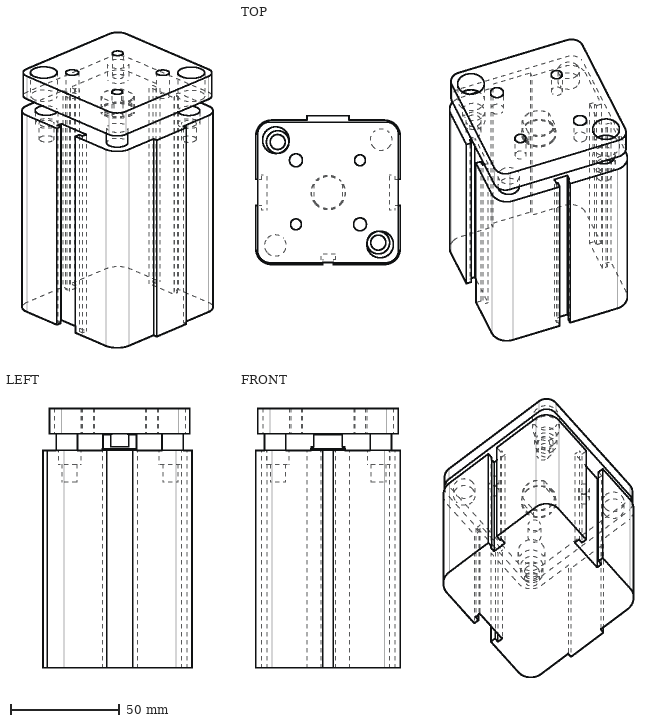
import cadquery as cq

total_height = 120.0
body_side = 67.0
body_height = 100.5
body_corner_radius = 7.5
plate_side = 65.0
plate_thickness = 11.8
plate_corner_radius = 5.5

rib_width = 19.5
rib_height = 2.0
front_slot_mouth = 5.0
front_slot_width = 6.5
side_slot_mouth = 12.0
side_slot_width = 16.3
slot_lip = 2.5
slot_depth = 5.0

screw_pitch = 46.5
screw_hole_diameter = 7.0
screw_head_diameter = 10.5
screw_head_depth = 6.5
screw_hole_depth = 14.4

guide_pitch = 49.0
guide_diameter = 10.0
piston_diameter = 15.6
piston_chamfer = 0.4
piston_collar_diameter = 16.0
piston_collar_height = 0.7
piston_flats = 13.2
piston_flat_start = 1.7
access_pitch = 48.2
access_diameter = 12.4
plate_hole_pitch = 29.6
tapped_diameter = 5.0
dowel_diameter = 6.0

plate_bottom = total_height - plate_thickness


def diagonal(pitch, rising):
    """Two opposite corners of a square: (-,-) and (+,+) if rising, else (-,+) and (+,-)."""
    half = pitch / 2
    return [(-half, -half), (half, half)] if rising else [(-half, half), (half, -half)]


def block(side, height, radius, bottom):
    """Square block with rounded vertical corners."""
    return (cq.Workplane("XY", origin=(0, 0, bottom)).rect(side, side)
            .extrude(height).edges("|Z").fillet(radius))


def round_bars(points, diameter, bottom, top):
    """Vertical cylinders at the given points."""
    return (cq.Workplane("XY", origin=(0, 0, bottom)).pushPoints(points)
            .circle(diameter / 2).extrude(top - bottom))


def t_slot(mouth, width, turn):
    """T-slot cutter over the full body height, for the -Y face turned about Z."""
    face = -body_side / 2
    neck = (cq.Workplane("XY").center(0, face + slot_depth / 2)
            .rect(mouth, slot_depth).extrude(body_height))
    undercut_depth = slot_depth - slot_lip
    undercut = (cq.Workplane("XY").center(0, face + slot_lip + undercut_depth / 2)
                .rect(width, undercut_depth).extrude(body_height))
    return neck.union(undercut).rotate((0, 0, 0), (0, 0, 1), turn)


def make_housing():
    """Cylinder body with a rib at +Y, T-slots on the other three sides and two screw holes."""
    body = block(body_side, body_height, body_corner_radius, 0)
    rib = (cq.Workplane("XY").center(0, body_side / 2)
           .rect(rib_width, 2 * rib_height).extrude(body_height))
    body = body.union(rib)
    body = body.cut(t_slot(front_slot_mouth, front_slot_width, 0))
    for turn in (-90, 90):
        body = body.cut(t_slot(side_slot_mouth, side_slot_width, turn))

    screws = diagonal(screw_pitch, rising=False)
    body = body.cut(round_bars(screws, screw_hole_diameter, body_height - screw_hole_depth, body_height))
    body = body.cut(round_bars(screws, screw_head_diameter, body_height - screw_head_depth, body_height))
    return body


def make_carriage():
    """Moving plate with its two guide rods and its piston rod, standing on the housing."""
    plate = block(plate_side, plate_thickness, plate_corner_radius, plate_bottom)
    for points, diameter in (
        (diagonal(access_pitch, rising=False), access_diameter),
        (diagonal(plate_hole_pitch, rising=True), tapped_diameter),
        (diagonal(plate_hole_pitch, rising=False), dowel_diameter),
    ):
        plate = plate.cut(round_bars(points, diameter, plate_bottom, total_height))

    guides = round_bars(diagonal(guide_pitch, rising=True), guide_diameter, body_height, plate_bottom)
    piston = round_bars([(0, 0)], piston_diameter, body_height, plate_bottom)
    piston = piston.faces(">Z").chamfer(piston_chamfer)
    collar = round_bars([(0, 0)], piston_collar_diameter, body_height, body_height + piston_collar_height)
    cutter_side = 2 * piston_diameter
    flat_bottom = body_height + piston_flat_start
    flats = (cq.Workplane("XY", origin=(0, 0, flat_bottom)).rect(cutter_side, cutter_side)
             .rect(piston_flats, cutter_side - piston_flats).extrude(plate_bottom - flat_bottom))
    return plate.union(guides).union(piston.cut(flats)).union(collar)


housing = make_housing()
carriage = make_carriage()
result = cq.Compound.makeCompound([housing.val(), carriage.val()])